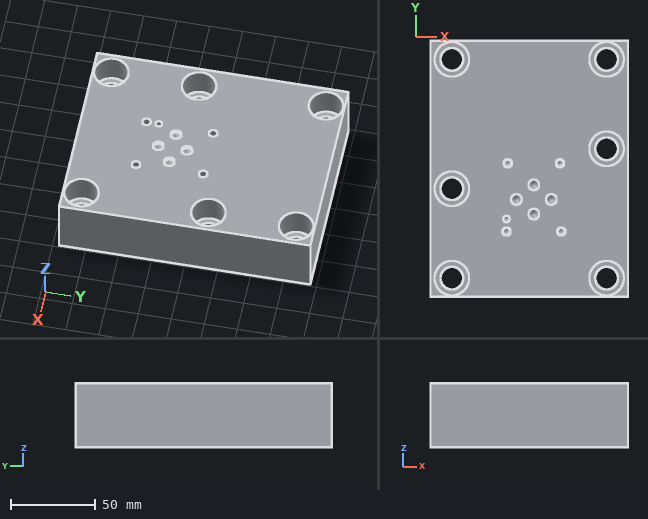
import cadquery as cq
import math

WIDTH = 117.5
LENGTH = 152.4
HEIGHT = 38.1

BOLT_DIAMETER = 13.4
COUNTERBORE_DIAMETER = 20.5
COUNTERBORE_DEPTH = HEIGHT / 2
BOLT_X = 46.0
BOLT_END_Y = 65.0
BOLT_MIDDLE_Y = 11.9

PATTERN_X = 2.7
PATTERN_Y = -18.3

PORT_DIAMETER = 6.4
PORT_DEPTH = 2.0
PORT_SPREAD_X = 10.4
PORT_SPREAD_Y = 8.7

THREAD_DIAMETER = 5.0
THREAD_DEPTH = 15.2
TAP_DRILL_DIAMETER = 4.3
TAP_DRILL_DEPTH = 19.8
REAR_SCREW_X = 15.5
REAR_SCREW_Y = 21.5
FRONT_SCREW_X = 16.3
FRONT_SCREW_Y = -19.0

PIN_DIAMETER = 4.0
PIN_DEPTH = 6.1
PIN_X = -FRONT_SCREW_X
PIN_Y = -11.6

DRILL_POINT_ANGLE = 118.0

BOLT_POINTS = [
    (-BOLT_X, -BOLT_END_Y),
    (-BOLT_X, -BOLT_MIDDLE_Y),
    (-BOLT_X, BOLT_END_Y),
    (BOLT_X, -BOLT_END_Y),
    (BOLT_X, BOLT_MIDDLE_Y),
    (BOLT_X, BOLT_END_Y),
]
PORT_POINTS = [
    (-PORT_SPREAD_X, 0),
    (PORT_SPREAD_X, 0),
    (0, -PORT_SPREAD_Y),
    (0, PORT_SPREAD_Y),
]
SCREW_POINTS = [
    (-REAR_SCREW_X, REAR_SCREW_Y),
    (REAR_SCREW_X, REAR_SCREW_Y),
    (-FRONT_SCREW_X, FRONT_SCREW_Y),
    (FRONT_SCREW_X, FRONT_SCREW_Y),
]


def drilled_hole(diameter, depth):
    """Blind hole down from Z = 0, full diameter to the depth and then a conical drill point."""
    radius = diameter / 2
    point_depth = radius / math.tan(math.radians(DRILL_POINT_ANGLE / 2))
    profile = (
        cq.Workplane("XZ")
        .lineTo(radius, 0)
        .lineTo(radius, -depth)
        .lineTo(0, -depth - point_depth)
        .close()
    )
    return profile.revolve(360, (0, 0, 0), (0, 1, 0))


def cut_pattern(body, cutter, points):
    """Cut a hole at each point of the valve pattern on the top face."""
    for x, y in points:
        body = body.cut(cutter.translate((PATTERN_X + x, PATTERN_Y + y, HEIGHT)))
    return body


block = cq.Workplane("XY").box(WIDTH, LENGTH, HEIGHT, centered=(True, True, False))

block = (
    block.faces(">Z")
    .workplane(origin=(0, 0, HEIGHT))
    .pushPoints(BOLT_POINTS)
    .cboreHole(BOLT_DIAMETER, COUNTERBORE_DIAMETER, COUNTERBORE_DEPTH)
)

port = drilled_hole(PORT_DIAMETER, PORT_DEPTH)
block = cut_pattern(block, port, PORT_POINTS)

thread = cq.Workplane("XY").circle(THREAD_DIAMETER / 2).extrude(-THREAD_DEPTH)
tapped_hole = drilled_hole(TAP_DRILL_DIAMETER, TAP_DRILL_DEPTH).union(thread)
block = cut_pattern(block, tapped_hole, SCREW_POINTS)

locating_pin_hole = drilled_hole(PIN_DIAMETER, PIN_DEPTH)
block = cut_pattern(block, locating_pin_hole, [(PIN_X, PIN_Y)])

result = block